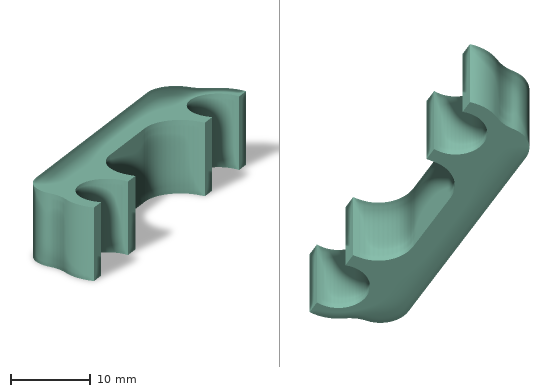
import cadquery as cq
import math

length = 44.0
width = 11.0
height = 10.0
clip_radius = 6.0
bore_radius = 4.0
corner_radius = 4.0
neck_radius = 5.0
clip_x = 10.0
back_thickness = 5.0

back_x = -width / 2
front_x = width / 2
clip_center_x = back_x + clip_x
clip_center_y = length / 2 - clip_radius
corner_center_x = back_x + corner_radius
recess_radius = clip_x - back_thickness
recess_half_length = clip_center_y - clip_radius


def neck_center():
    """Center of the hollow arc tangent to both the back corner and the clip."""
    spacing = clip_center_x - corner_center_x
    to_corner = corner_radius + neck_radius
    to_clip = clip_radius + neck_radius
    along = (to_corner**2 - to_clip**2 + spacing**2) / (2 * spacing)
    rise = math.sqrt(to_corner**2 - along**2)
    return corner_center_x + along, clip_center_y + rise


def point_toward(start, target, distance):
    """Point at the given distance from start on the way to target."""
    ratio = distance / math.dist(start, target)
    return tuple(s + ratio * (t - s) for s, t in zip(start, target))


def make_half():
    """The +Y half of the bar with its clip still solid."""
    corner_center = (corner_center_x, clip_center_y)
    clip_center = (clip_center_x, clip_center_y)
    neck = neck_center()
    neck_start = point_toward(corner_center, neck, corner_radius)
    neck_end = point_toward(clip_center, neck, clip_radius)
    neck_chord_middle = tuple((a + b) / 2 for a, b in zip(neck_start, neck_end))
    neck_middle = point_toward(neck, neck_chord_middle, neck_radius)

    corner_chord_middle = ((back_x + neck_start[0]) / 2, (clip_center_y + neck_start[1]) / 2)
    corner_middle = point_toward(corner_center, corner_chord_middle, corner_radius)

    clip_crest = (clip_center_x, length / 2)
    clip_tip_rise = math.sqrt(clip_radius**2 - (front_x - clip_center_x)**2)
    clip_tip = (front_x, clip_center_y + clip_tip_rise)

    recess_x = back_x + back_thickness
    recess_center = (clip_center_x, recess_half_length - recess_radius)
    diagonal = recess_radius * math.sqrt(0.5)
    recess_middle = (recess_center[0] - diagonal, recess_center[1] + diagonal)

    return (
        cq.Workplane("XY")
        .moveTo(back_x, 0)
        .lineTo(back_x, clip_center_y)
        .threePointArc(corner_middle, neck_start)
        .threePointArc(neck_middle, neck_end)
        .threePointArc(clip_crest, clip_tip)
        .lineTo(front_x, recess_half_length)
        .lineTo(clip_center_x, recess_half_length)
        .threePointArc(recess_middle, (recess_x, recess_center[1]))
        .lineTo(recess_x, 0)
        .close()
        .extrude(height)
    )


half = make_half()
bar = half.union(half.mirror("XZ"), clean=True)

seats = (
    cq.Workplane("XY")
    .pushPoints([(clip_center_x, side * clip_center_y) for side in (-1, 1)])
    .circle(bore_radius)
    .extrude(height)
)
result = bar.cut(seats)